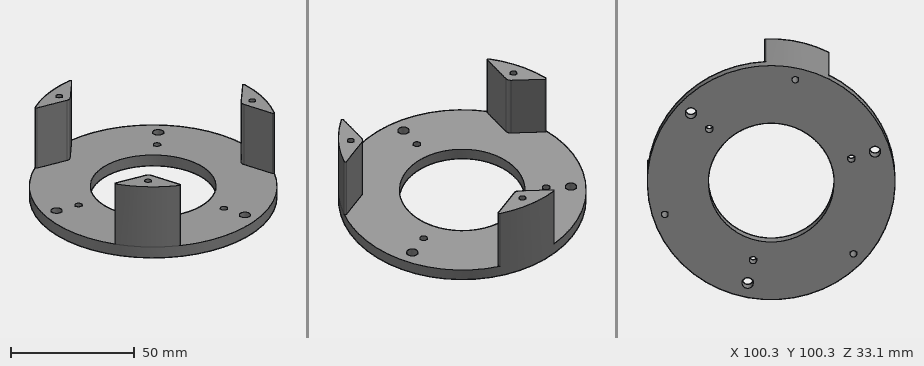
import cadquery as cq
import math

outer_diameter = 100.3
bore_diameter = 50.8
ring_thickness = 5.1
total_height = 33.1

count = 3
post_angle = 90.0
face_distance = 34.6
face_tilt = 30.0
inner_edge_radius = 2.4
tip_radius = 0.5

post_hole_diameter = 2.7
post_hole_distance = 45.1
small_hole_diameter = 3.0
small_hole_distance = 34.0
large_hole_diameter = 4.5
large_hole_distance = 44.0
ring_hole_angle = post_angle + 180 / count

outer_radius = outer_diameter / 2
post_height = total_height - ring_thickness


def make_ring():
    return (
        cq.Workplane("XY")
        .circle(outer_radius)
        .circle(bore_diameter / 2)
        .extrude(ring_thickness)
    )


def make_post(angle):
    """Post bounded by the rim arc and two flats meeting in an inward corner."""
    tilt = math.radians(face_tilt)
    corner = face_distance / math.cos(tilt)
    half_span = math.acos(face_distance / outer_radius) - tilt
    tip_x = outer_radius * math.cos(half_span)
    tip_y = outer_radius * math.sin(half_span)
    return (
        cq.Workplane("XY", origin=(0, 0, ring_thickness))
        .moveTo(corner, 0)
        .lineTo(tip_x, -tip_y)
        .threePointArc((outer_radius, 0), (tip_x, tip_y))
        .close()
        .extrude(post_height)
        .edges("|Z and <X")
        .fillet(inner_edge_radius)
        .edges("|Z and (<Y or >Y)")
        .fillet(tip_radius)
        .rotate((0, 0, 0), (0, 0, 1), angle)
    )


def make_holes(diameter, distance, first_angle):
    """Equally spaced full-height cutters around the ring axis."""
    return (
        cq.Workplane("XY")
        .polarArray(distance, first_angle, 360, count)
        .circle(diameter / 2)
        .extrude(total_height)
    )


result = make_ring()
for index in range(count):
    result = result.union(make_post(post_angle + index * 360 / count))

result = result.cut(make_holes(post_hole_diameter, post_hole_distance, post_angle))
result = result.cut(make_holes(small_hole_diameter, small_hole_distance, ring_hole_angle))
result = result.cut(make_holes(large_hole_diameter, large_hole_distance, ring_hole_angle))